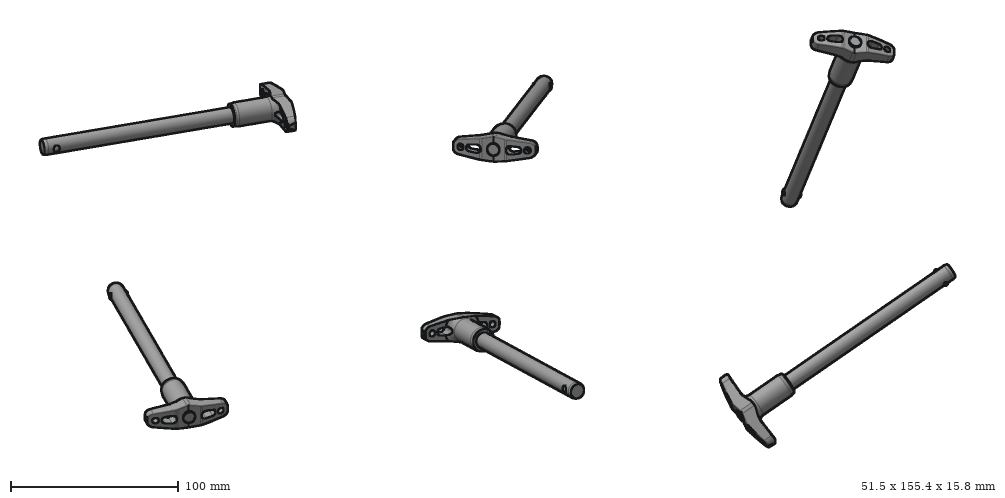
import cadquery as cq
import math


total_length = 155.4
head_height = 35.6
shank_length = total_length - head_height
handle_width = 51.5
handle_thickness = 15.79

shank_radius = 5.0
nose_length = 2.4
nose_radius = 4.5
nose_bulge = 0.18
ball_radius = 2.5
ball_offset = 3.4
ball_from_tip = 7.5

collar_radius = 7.4
lip_radius = 7.0
lip_length = 1.2
taper_length = 1.5
neck_fillet = 4.05

middle_radius = handle_thickness / 2
end_radius = 4.85
half_width = handle_width / 2
end_center = half_width - end_radius

peak_x = 7.6
peak_blend = 4.0
select_margin = 0.1
saddle_depth = 1.45
rim_fillet = 0.4
dome_mid_x = 17.0
dome_mid_depth = 1.6
tip_top_x = 25.1
tip_top_depth = 3.5
tip_widest_depth = 7.8
tip_bottom_x = 24.8
tip_bottom_depth = 8.9
underside_mid_depth = 8.0
neck_top_depth = 8.2
neck_embed = 1.0
neck_top_radius = collar_radius + neck_fillet

cord_hole_x = 20.4
cord_hole_radius = 1.9
slot_outer_x = 14.7
slot_outer_radius = 2.1
slot_inner_x = 10.3
slot_inner_radius = 2.6
button_radius = 3.75
button_depth = 3.0

neck_y = head_height - neck_top_depth - neck_fillet


def tangent_hull(x_a, radius_a, x_b, radius_b, y_from, height):
    """Prism along +Y around two circles on the X axis joined by their common tangents."""
    angle = math.asin((radius_a - radius_b) / abs(x_b - x_a))
    side = math.copysign(1, x_b - x_a)
    sin_a = side * math.sin(angle)
    cos_a = math.cos(angle)
    start = (x_a + radius_a * sin_a, radius_a * cos_a)
    end = (x_b + radius_b * sin_a, radius_b * cos_a)
    return (
        cq.Workplane("XZ", origin=(0, y_from, 0))
        .moveTo(*start)
        .lineTo(*end)
        .threePointArc((x_b + side * radius_b, 0), (end[0], -end[1]))
        .lineTo(start[0], -start[1])
        .threePointArc((x_a - side * radius_a, 0), start)
        .close()
        .extrude(-height)
    )


def handle_outline():
    """Plan outline of the handle, extruded over the neck and the handle."""
    height = head_height - neck_y
    right = tangent_hull(0, middle_radius, end_center, end_radius, neck_y, height)
    left = tangent_hull(0, middle_radius, -end_center, end_radius, neck_y, height)
    return right.union(left)


def handle_profile():
    """Domed side profile with a saddle in the middle, extruded through the thickness."""
    def at(x, depth):
        return (x, head_height - depth)

    profile = (
        cq.Workplane("XY")
        .moveTo(*at(0, saddle_depth))
        .lineTo(*at(peak_x, 0))
        .threePointArc(at(dome_mid_x, dome_mid_depth), at(tip_top_x, tip_top_depth))
        .lineTo(*at(half_width, tip_widest_depth))
        .lineTo(*at(tip_bottom_x, tip_bottom_depth))
        .threePointArc(at(0, underside_mid_depth), at(-tip_bottom_x, tip_bottom_depth))
        .lineTo(*at(-half_width, tip_widest_depth))
        .lineTo(*at(-tip_top_x, tip_top_depth))
        .threePointArc(at(-dome_mid_x, dome_mid_depth), at(-peak_x, 0))
        .close()
        .extrude(middle_radius, both=True)
    )
    peaks = cq.selectors.BoxSelector(
        (-peak_x - select_margin, head_height - select_margin, -handle_thickness),
        (peak_x + select_margin, head_height + select_margin, handle_thickness),
    )
    return profile.edges("|Z").edges(peaks).fillet(peak_blend)


def soften_top_rim(wings):
    """Round the rim of the domed top face, leaving the ridges across it alone."""
    rim_zone = cq.selectors.BoxSelector(
        (-half_width, head_height - tip_top_depth + select_margin, -handle_thickness),
        (half_width, head_height + select_margin, handle_thickness),
    )
    return wings.edges("not |Z").edges(rim_zone).fillet(rim_fillet)


def neck():
    """Concave fillet flaring from the collar out to, and embedded in, the underside of the handle."""
    arc_offset = neck_fillet * (1 - math.sqrt(0.5))
    flare_y = neck_y + neck_fillet
    return (
        cq.Workplane("XY")
        .moveTo(0, neck_y)
        .lineTo(collar_radius, neck_y)
        .threePointArc((collar_radius + arc_offset, flare_y - arc_offset), (neck_top_radius, flare_y))
        .lineTo(neck_top_radius, flare_y + neck_embed)
        .lineTo(0, flare_y + neck_embed)
        .close()
        .revolve(360, (0, 0, 0), (0, 1, 0))
    )


def collar_and_shank():
    """Turned body: rounded nose, shank, collar lip, taper and collar."""
    nose_y = nose_length - shank_length
    nose_mid = ((shank_radius + nose_radius) / 2 + nose_bulge, nose_y - nose_length / 2)
    return (
        cq.Workplane("XY")
        .moveTo(0, -shank_length)
        .lineTo(nose_radius, -shank_length)
        .threePointArc(nose_mid, (shank_radius, nose_y))
        .lineTo(shank_radius, 0)
        .lineTo(lip_radius, 0)
        .lineTo(lip_radius, lip_length)
        .lineTo(collar_radius, lip_length + taper_length)
        .lineTo(collar_radius, neck_y)
        .lineTo(0, neck_y)
        .close()
        .revolve(360, (0, 0, 0), (0, 1, 0))
    )


def button():
    """Release button standing in the saddle, level with the handle peaks."""
    return (
        cq.Workplane("XZ", origin=(0, head_height, 0))
        .circle(button_radius)
        .extrude(button_depth)
    )


def grip_openings(side):
    """Cord hole and tapered slot through one wing of the handle."""
    height = head_height - neck_y
    slot = tangent_hull(
        side * slot_inner_x, slot_inner_radius, side * slot_outer_x, slot_outer_radius, neck_y, height
    )
    hole = (
        cq.Workplane("XZ", origin=(side * cord_hole_x, neck_y, 0))
        .circle(cord_hole_radius)
        .extrude(-height)
    )
    return slot.union(hole)


def locking_ball(side):
    """Ball protruding from one side of the shank near the nose."""
    center = (side * ball_offset, ball_from_tip - shank_length, 0)
    return cq.Workplane("XY", origin=center).sphere(ball_radius)


wings = soften_top_rim(handle_profile().intersect(handle_outline()))
handle = wings.union(neck().intersect(handle_outline()))
result = handle.union(collar_and_shank()).union(button())
for side in (-1, 1):
    result = result.cut(grip_openings(side)).union(locking_ball(side))